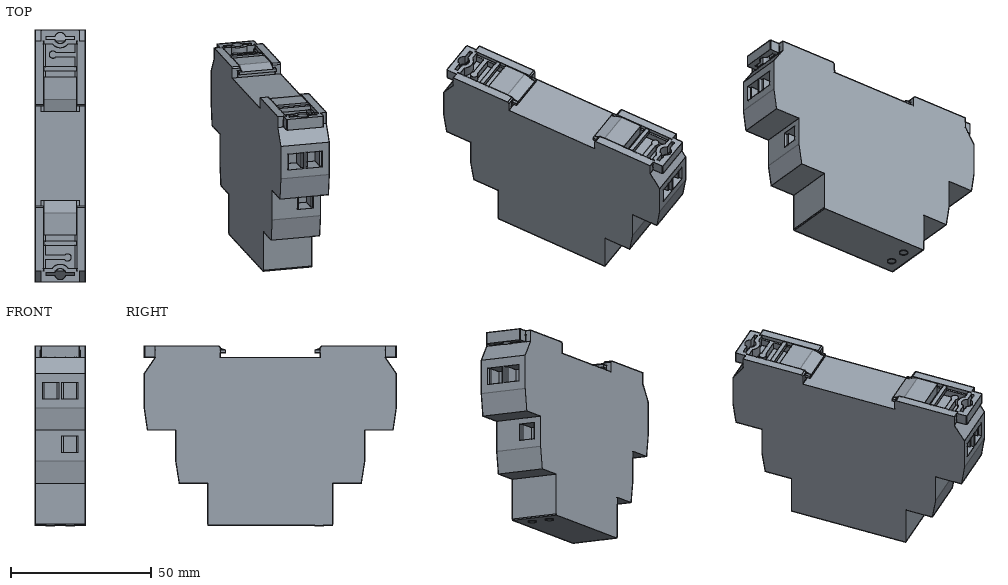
import cadquery as cq
import math

WIDTH = 18.0
HALF_LENGTH = 45.0
TOP_Z = 64.0
CENTRE_TOP_Z = TOP_Z - 4.05

BASE_HALF = 22.3
BASE_TOP_Z = 14.9
MIDDLE_HALF = 33.75
MIDDLE_TAPER_Z = 22.95
MIDDLE_TAPER = 1.3
UPPER_BOTTOM_Z = 33.9
UPPER_TAPER_Z = 41.9
UPPER_TAPER = 1.2
SHOULDER_BOTTOM_Z = 54.1
BASE_CHAMFER_HEIGHT = 0.45
BASE_CHAMFER_DEPTH = 0.2

RAIL_START = 17.8
RAIL_END = 41.0
RAIL_CHAMFER = 0.5
CHANNEL_WIDTH = 12.1
GROOVE_WIDTH = 14.2
GROOVE_TOP_Z = TOP_Z - 1.4

INSERT_WIDTH = 13.8
NECK_WIDTH = 11.7
LEDGE_TOP_Z = GROOVE_TOP_Z
LIP_BOTTOM_Z = TOP_Z - 2.4
LIP_START = 15.9
BLOCK_INNER_Y = 40.05
BLOCK_CHAMFER = 0.3
COVER_TOP_Z = TOP_Z - 0.1
COVER_BEND_Y = 20.25
COVER_END_Y = 28.2
WINDOW_WIDTH = 10.6
BAR_START = 30.3
BAR_WIDTH = 1.5
BAR_HEIGHT = 1.5
TONGUE_Y = 36.2
TONGUE_WIDTH = 1.6
TONGUE_END_X = -2.6
TONGUE_END_DIAMETER = 2.6

SCREW_Y = 42.1
SCREW_DIAMETER = 4.0
SCREW_COLLAR_DIAMETER = 7.0
SCREW_SLOT_LENGTH = 10.2
SCREW_SLOT_WIDTH = 1.1

ENTRY_HEIGHT = 5.9
ENTRY_WIDTH = 6.0
ENTRY_GAP = 0.7
ENTRY_X = (ENTRY_WIDTH + ENTRY_GAP) / 2
ENTRY_MOUTH_DEPTH = 1.3
ENTRY_INNER_WIDTH = 4.6
ENTRY_INNER_OFFSET = 0.1
ENTRY_DEPTH = 7.2
UPPER_ENTRY_Z = 48.0
LOWER_ENTRY_Z = 29.0

STUD_DIAMETER = 3.1
STUD_X = 3.5
STUD_Y = 17.5
STUD_HEIGHT = 0.3


def box(width, y_start, y_end, z_bottom, z_top, x_centre=0.0):
    """Box centred on x_centre between the given Y and Z limits."""
    size = (width, y_end - y_start, z_top - z_bottom)
    middle = (x_centre, (y_start + y_end) / 2, (z_bottom + z_top) / 2)
    return cq.Workplane("XY").box(*size).translate(middle)


def cylinder(x, y, diameter, z_bottom, z_top):
    plane = cq.Workplane("XY", origin=(x, y, z_bottom))
    return plane.circle(diameter / 2).extrude(z_top - z_bottom)


def side_profile(points, width):
    """Extrude a (y, z) outline across the width, centred on X."""
    return cq.Workplane("YZ").polyline(points).close().extrude(width / 2, both=True)


def both_ends(feature):
    """The feature together with its half-turn copy at the other end."""
    return feature.union(feature.rotate((0, 0, 0), (0, 0, 1), 180))


def stepped_body():
    half_outline = [
        (BASE_HALF - BASE_CHAMFER_DEPTH, 0),
        (BASE_HALF, BASE_CHAMFER_HEIGHT),
        (BASE_HALF, BASE_TOP_Z),
        (MIDDLE_HALF - MIDDLE_TAPER, BASE_TOP_Z),
        (MIDDLE_HALF, MIDDLE_TAPER_Z),
        (MIDDLE_HALF, UPPER_BOTTOM_Z),
        (HALF_LENGTH - UPPER_TAPER, UPPER_BOTTOM_Z),
        (HALF_LENGTH, UPPER_TAPER_Z),
        (HALF_LENGTH, SHOULDER_BOTTOM_Z),
        (RAIL_END, CENTRE_TOP_Z),
    ]
    mirrored = [(-y, z) for y, z in reversed(half_outline)]
    return side_profile(half_outline + mirrored, WIDTH)


def rails():
    outline = [
        (RAIL_START, CENTRE_TOP_Z),
        (RAIL_END, CENTRE_TOP_Z),
        (RAIL_END, TOP_Z),
        (RAIL_START + RAIL_CHAMFER, TOP_Z),
        (RAIL_START, TOP_Z - RAIL_CHAMFER),
    ]
    channel = box(CHANNEL_WIDTH, RAIL_START, RAIL_END, CENTRE_TOP_Z, TOP_Z)
    groove = box(GROOVE_WIDTH, RAIL_START, RAIL_END, CENTRE_TOP_Z, GROOVE_TOP_Z)
    return side_profile(outline, WIDTH).cut(channel).cut(groove)


def end_block():
    block = box(INSERT_WIDTH, RAIL_END, HALF_LENGTH, CENTRE_TOP_Z, TOP_Z)
    block = block.edges("|Z and >Y").chamfer(BLOCK_CHAMFER)
    neck = box(NECK_WIDTH, BLOCK_INNER_Y, RAIL_END, CENTRE_TOP_Z, TOP_Z)
    collar = cylinder(0, SCREW_Y, SCREW_COLLAR_DIAMETER, CENTRE_TOP_Z, TOP_Z)
    collar = collar.intersect(box(NECK_WIDTH, COVER_END_Y, SCREW_Y, CENTRE_TOP_Z, TOP_Z))
    screw_hole = cylinder(0, SCREW_Y, SCREW_DIAMETER, CENTRE_TOP_Z, TOP_Z)
    slot_start = SCREW_Y - SCREW_SLOT_WIDTH / 2
    slot_end = SCREW_Y + SCREW_SLOT_WIDTH / 2
    slot = box(SCREW_SLOT_LENGTH, slot_start, slot_end, CENTRE_TOP_Z, TOP_Z)
    return block.union(neck).union(collar).cut(screw_hole).cut(slot)


def tongue():
    """Wall from the +X side of the window, ending in a round post."""
    length = WINDOW_WIDTH / 2 - TONGUE_END_X
    x_centre = TONGUE_END_X + length / 2
    y_start = TONGUE_Y - TONGUE_WIDTH / 2
    wall = box(length, y_start, y_start + TONGUE_WIDTH, CENTRE_TOP_Z, LEDGE_TOP_Z, x_centre)
    post = cylinder(TONGUE_END_X, TONGUE_Y, TONGUE_END_DIAMETER, CENTRE_TOP_Z, LEDGE_TOP_Z)
    return wall.union(post)


def insert():
    frame = box(INSERT_WIDTH, RAIL_START, BLOCK_INNER_Y, CENTRE_TOP_Z, LEDGE_TOP_Z)
    frame = frame.cut(box(WINDOW_WIDTH, COVER_END_Y, BLOCK_INNER_Y, CENTRE_TOP_Z, LEDGE_TOP_Z))
    lip = box(INSERT_WIDTH, LIP_START, RAIL_START, LIP_BOTTOM_Z, LEDGE_TOP_Z)
    cover_outline = [
        (LIP_START, LEDGE_TOP_Z),
        (COVER_BEND_Y, COVER_TOP_Z),
        (COVER_END_Y, COVER_TOP_Z),
        (COVER_END_Y, LEDGE_TOP_Z),
    ]
    cover = side_profile(cover_outline, NECK_WIDTH)
    bar = box(NECK_WIDTH, BAR_START, BAR_START + BAR_WIDTH, COVER_TOP_Z - BAR_HEIGHT, COVER_TOP_Z)
    return frame.union(lip).union(cover).union(bar).union(tongue()).union(end_block())


def wire_entry(x, face_y, z):
    """Stepped rectangular opening cut into an end face at -face_y."""
    z_bottom = z - ENTRY_HEIGHT / 2
    z_top = z + ENTRY_HEIGHT / 2
    mouth = box(ENTRY_WIDTH, -face_y, -face_y + ENTRY_MOUTH_DEPTH, z_bottom, z_top, x)
    inner_x = x + math.copysign(ENTRY_INNER_OFFSET, x)
    inner = box(ENTRY_INNER_WIDTH, -face_y, -face_y + ENTRY_DEPTH, z_bottom, z_top, inner_x)
    return mouth.union(inner)


result = stepped_body().union(both_ends(rails())).union(both_ends(insert()))

for entry_x, entry_face, entry_z in [
    (-ENTRY_X, HALF_LENGTH, UPPER_ENTRY_Z),
    (ENTRY_X, HALF_LENGTH, UPPER_ENTRY_Z),
    (ENTRY_X, MIDDLE_HALF, LOWER_ENTRY_Z),
]:
    result = result.cut(both_ends(wire_entry(entry_x, entry_face, entry_z)))

for stud_x in (-STUD_X, STUD_X):
    result = result.union(cylinder(stud_x, STUD_Y, STUD_DIAMETER, -STUD_HEIGHT, 0))